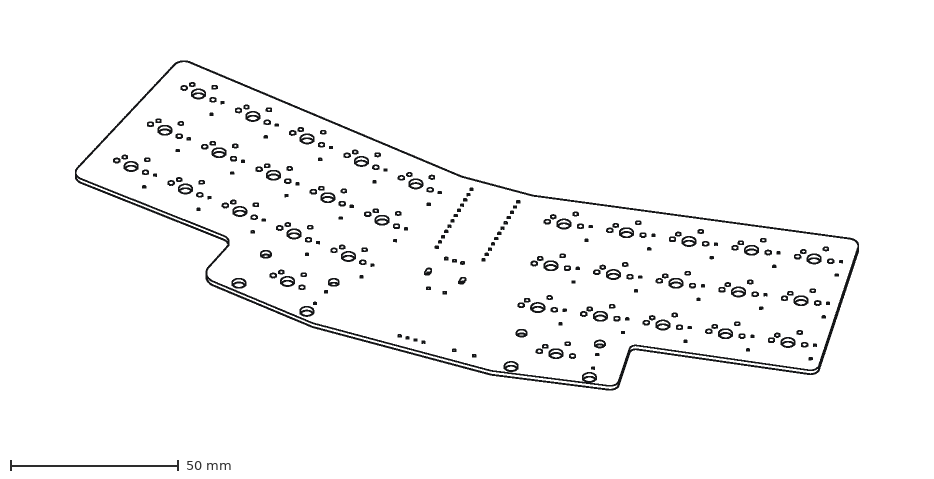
import cadquery as cq
import math

board_thickness = 1.6
board_depth = 94.5

outline_corners = [
    (-108.5, 47.9, 3.3),
    (-11.2, 30.0, 0),
    (11.7, 30.0, 0),
    (109.8, 47.9, 3.3),
    (119.5, -11.5, 2.6),
    (63.5, -21.0, 2.0),
    (66.7, -40.0, 2.6),
    (29.3, -board_depth / 2, 0),
    (-28.0, -board_depth / 2, 0),
    (-67.0, -40.2, 4.8),
    (-63.8, -21.5, 3.5),
    (-119.5, -12.6, 3.5),
]

key_pitch = 19.0
wing_tilt = 10.0
column_count = 5
row_count = 3
thumb_columns_inward = 1.5
thumb_rows_down = 2
layout_center_x = 1.2
grid_spacing = 129.3
left_grid_center = (layout_center_x - grid_spacing / 2, 9.8)
right_grid_center = (layout_center_x + grid_spacing / 2, 9.5)

switch_grid = 1.26
stem_diameter = 4.0
peg_diameter = 1.75
pin_diameter = 1.48
peg_points = [(-4 * switch_grid, 0), (4 * switch_grid, 0)]
pin_points = [(-3 * switch_grid, 2 * switch_grid), (2 * switch_grid, 4 * switch_grid)]

diode_diameter = 0.8
diode_lead_spacing = 6.2
key_diode = (8.0, 0.5)
thumb_diode = (12.1, 2.1)

stabilizer_half_span = 12.0
stabilizer_small_y = 7.0
stabilizer_small_diameter = 3.0
stabilizer_large_y = -8.3
stabilizer_large_diameter = 4.0

header_diameter = 0.8
controller_pins = 12
controller_length = 27.9
controller_row_spacing = 15.0
controller_center = (layout_center_x, 12.0)

encoder_center = (0.8, -13.0)
encoder_slot_spacing = 11.0
encoder_slot_length = 2.9
encoder_slot_width = 1.48
encoder_pin_pitch = 2.6
encoder_pin_rise = 7.5
encoder_pin_drop = 7.0
encoder_pin_diameter = 1.0

bottom_row_y = -42.9
display_pins = 4
display_length = 7.6
display_center_x = 2.0
reset_center_x = 18.8
reset_spacing = 6.5
reset_diameter = 1.0


def turn(point, angle):
    """Rotate a point about the origin by an angle in degrees."""
    x, y = point
    c = math.cos(math.radians(angle))
    s = math.sin(math.radians(angle))
    return (x * c - y * s, x * s + y * c)


def place(points, origin, angle):
    """Move local footprint points to an origin, turned by an angle."""
    placed = []
    for point in points:
        x, y = turn(point, angle)
        placed.append((origin[0] + x, origin[1] + y))
    return placed


def spread(count, length):
    """Evenly spaced positions over a length, centered on zero."""
    return [length * (i / (count - 1) - 0.5) for i in range(count)]


def make_board():
    board = cq.Workplane("XY").polyline([(x, y) for x, y, _ in outline_corners]).close()
    board = board.extrude(board_thickness)
    for x, y, radius in outline_corners:
        if radius > 0:
            corner = cq.selectors.NearestToPointSelector((x, y, board_thickness / 2))
            board = board.edges("|Z").edges(corner).fillet(radius)
    return board


def drill(points, diameter):
    return cq.Workplane("XY").pushPoints(points).circle(diameter / 2).extrude(board_thickness)


def diode_points(first_lead):
    """Both lead holes of a diode, the first one given and the second below it."""
    x, y = first_lead
    return [(x, y), (x, y - diode_lead_spacing)]


def wing_cutters(grid_center, angle, inward):
    """Holes of one wing; inward is +1 if the board's middle lies toward +X, else -1."""
    columns = spread(column_count, key_pitch * (column_count - 1))
    rows = spread(row_count, key_pitch * (row_count - 1))
    keys = place([(x, y) for x in columns for y in rows], grid_center, angle)
    thumb_local = (inward * thumb_columns_inward * key_pitch, -thumb_rows_down * key_pitch)
    thumb = place([thumb_local], grid_center, angle)[0]

    pegs = []
    pins = []
    for key in keys + [thumb]:
        pegs += place(peg_points, key, angle)
        pins += place(pin_points, key, angle)

    diodes = place(diode_points(thumb_diode), thumb, angle)
    for key in keys:
        diodes += place(diode_points(key_diode), key, angle)

    sides = (-stabilizer_half_span, stabilizer_half_span)
    small = place([(x, stabilizer_small_y) for x in sides], thumb, angle)
    large = place([(x, stabilizer_large_y) for x in sides], thumb, angle)

    return [
        drill(keys + [thumb], stem_diameter),
        drill(pegs, peg_diameter),
        drill(pins, pin_diameter),
        drill(diodes, diode_diameter),
        drill(small, stabilizer_small_diameter),
        drill(large, stabilizer_large_diameter),
    ]


def controller_cutter():
    xs = spread(2, controller_row_spacing)
    ys = spread(controller_pins, controller_length)
    return drill(place([(x, y) for x in xs for y in ys], controller_center, 0), header_diameter)


def encoder_cutters():
    slots = place([(x, 0) for x in spread(2, encoder_slot_spacing)], encoder_center, 0)
    slot_cutter = cq.Workplane("XY").pushPoints(slots)
    slot_cutter = slot_cutter.slot2D(encoder_slot_length, encoder_slot_width, 90).extrude(board_thickness)
    xs = spread(3, 2 * encoder_pin_pitch)
    upper = [(x, encoder_pin_rise) for x in xs]
    lower = [(xs[0], -encoder_pin_drop), (xs[-1], -encoder_pin_drop)]
    return [slot_cutter, drill(place(upper + lower, encoder_center, 0), encoder_pin_diameter)]


def bottom_row_cutters():
    display = [(display_center_x + x, bottom_row_y) for x in spread(display_pins, display_length)]
    reset = [(reset_center_x + x, bottom_row_y) for x in spread(2, reset_spacing)]
    return [drill(display, header_diameter), drill(reset, reset_diameter)]


cutters = wing_cutters(left_grid_center, -wing_tilt, 1)
cutters += wing_cutters(right_grid_center, wing_tilt, -1)
cutters += [controller_cutter()]
cutters += encoder_cutters()
cutters += bottom_row_cutters()

all_holes = cq.Compound.makeCompound([solid for cutter in cutters for solid in cutter.vals()])
result = make_board().cut(cq.Workplane(all_holes))